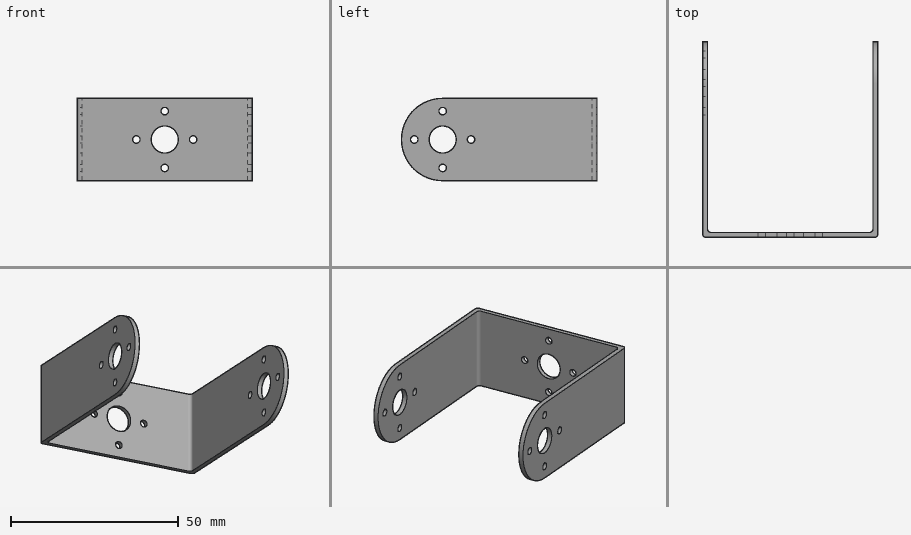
import cadquery as cq

width = 52.3
length = 58.35
height = 24.6
thickness = 1.5

outer_bend_radius = 1.0
inner_bend_radius = 1.0

center_hole_diameter = 8.0
screw_hole_diameter = 2.15
screw_circle_diameter = 16.9
screw_count = 4

arm_end_radius = height / 2
arm_hole_y = length - arm_end_radius


def make_channel():
    """U-shaped strip: base plate along X at Y = 0, arms along +Y."""
    outer = (
        cq.Workplane("XY")
        .box(width, length, height)
        .translate((0, length / 2, 0))
        .edges("|Z and <Y")
        .fillet(outer_bend_radius)
    )
    inner = (
        cq.Workplane("XY")
        .box(width - 2 * thickness, length, height)
        .translate((0, length / 2 + thickness, 0))
        .edges("|Z and <Y")
        .fillet(inner_bend_radius)
    )
    return outer.cut(inner)


def make_side_outline():
    """Side profile with round arm ends, spanning the full width."""
    return (
        cq.Workplane("YZ")
        .moveTo(0, -height / 2)
        .lineTo(arm_hole_y, -height / 2)
        .threePointArc((length, 0), (arm_hole_y, height / 2))
        .lineTo(0, height / 2)
        .close()
        .extrude(width / 2, both=True)
    )


def make_hole_cutter(plane, depth):
    """Center hole and four screw holes, extending depth to both sides of the plane."""
    center_hole = plane.circle(center_hole_diameter / 2).extrude(depth, both=True)
    screw_holes = (
        plane.polarArray(screw_circle_diameter / 2, 0, 360, screw_count)
        .circle(screw_hole_diameter / 2)
        .extrude(depth, both=True)
    )
    return center_hole.union(screw_holes)


base_holes = make_hole_cutter(cq.Workplane("XZ"), 2 * thickness)
arm_holes = make_hole_cutter(cq.Workplane("YZ", origin=(0, arm_hole_y, 0)), width)

result = make_channel().intersect(make_side_outline()).cut(base_holes).cut(arm_holes)